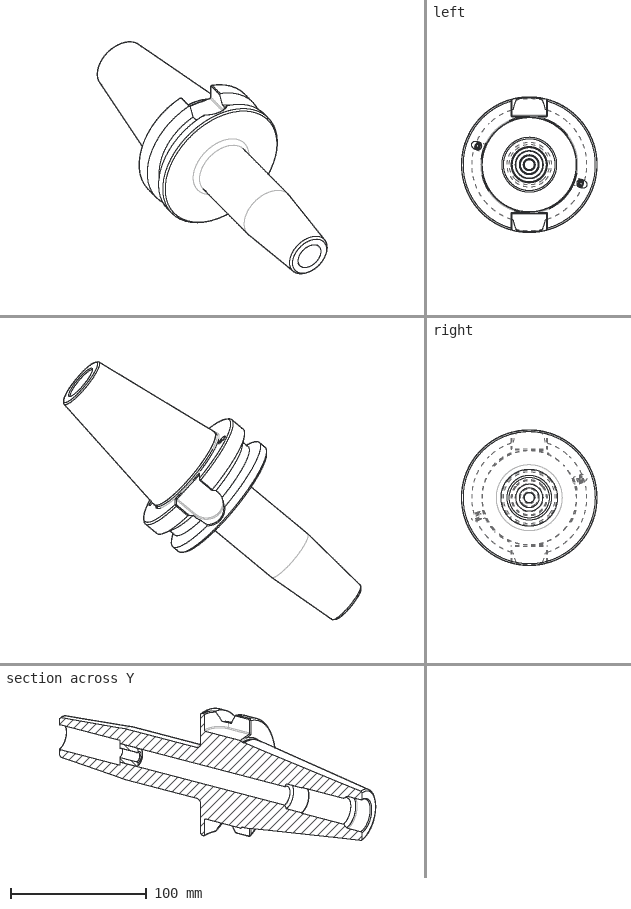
import cadquery as cq
import math

OVERALL_LENGTH = 261.8
TAPER_LENGTH = 101.8
TAPER_LARGE_DIAMETER = 70.0
TAPER_PER_LENGTH = 7 / 24
TAPER_END_CHAMFER = 1.0
NECK_DIAMETER = 69.5

FLANGE_START = 104.5
FLANGE_END = 139.8
FLANGE_DIAMETER = 100.0
FLANGE_CHAMFER = 1.3
NECK_FILLET = 1.0
GROOVE_CENTER = 125.0
GROOVE_FLOOR_WIDTH = 6.8
GROOVE_FLOOR_DIAMETER = 84.8
GROOVE_FLANK_ANGLE = 30.0

SHANK_DIAMETER = 42.0
SHANK_FILLET = 3.5
NOSE_START = 204.7
NOSE_ANGLE = 4.5
NOSE_CHAMFER = 1.5

SLOT_WIDTH = 25.7
SLOT_END = 136.1
SLOT_FLOOR_HEIGHT = 35.9
SLOT_FLOOR_FILLET = 0.8
SLOT_EDGE_CHAMFER = 0.8
RIM_MARGIN = 0.3

PILOT_DIAMETER = 25.7
PILOT_CHAMFER = 0.5
PILOT_CHAMFER_LENGTH = 1.0
PILOT_END = 12.3
PILOT_LEDGE_LENGTH = 1.0
PILOT_LEDGE_STEP = 0.3
PILOT_CONE_END = 16.2
THREAD_DIAMETER = 20.7
THREAD_END = 52.4
CHANNEL_DIAMETER = 20.0
CHANNEL_END = 65.5
CHANNEL_CONE_ANGLE = 30.0
STOP_BORE_DIAMETER = 14.7
TOOL_BORE_DIAMETER = 20.0
TOOL_BORE_DEPTH = 52.4

STOP_SCREW_LENGTH = 15.7
STOP_SCREW_HOLE_DIAMETER = 7.3
STOP_SCREW_HOLE_CHAMFER = 0.8
STOP_SCREW_RIM_CHAMFER = 0.8

PLUG_PITCH_RADIUS = 41.4
PLUG_POSITION_ANGLE = 20.0
PLUG_TILT = 37.0
PLUG_COUNT = 2
PLUG_DIAMETER = 6.0
PLUG_CHAMFER = 0.8
PLUG_LENGTH = 6.0
PLUG_SOCKET_FLATS = 3.0
PLUG_SOCKET_DEPTH = 3.0

flange_radius = FLANGE_DIAMETER / 2
groove_floor_radius = GROOVE_FLOOR_DIAMETER / 2
groove_flank_run = (flange_radius - groove_floor_radius) * math.tan(math.radians(GROOVE_FLANK_ANGLE))
groove_floor_start = GROOVE_CENTER - GROOVE_FLOOR_WIDTH / 2
groove_floor_end = GROOVE_CENTER + GROOVE_FLOOR_WIDTH / 2
groove_start = groove_floor_start - groove_flank_run
groove_end = groove_floor_end + groove_flank_run
shank_radius = SHANK_DIAMETER / 2
taper_small_radius = (TAPER_LARGE_DIAMETER - TAPER_LENGTH * TAPER_PER_LENGTH) / 2
nose_radius = shank_radius - (OVERALL_LENGTH - NOSE_START) * math.tan(math.radians(NOSE_ANGLE))
tool_bore_start = OVERALL_LENGTH - TOOL_BORE_DEPTH
stop_screw_start = tool_bore_start - STOP_SCREW_LENGTH
plug_face_radius = PLUG_DIAMETER / 2 - PLUG_CHAMFER
plug_face_depth = plug_face_radius * math.tan(math.radians(PLUG_TILT))


def revolve_about_x(profile):
    """Turn a closed outline of (x, radius) into a solid around the X axis."""
    return profile.close().revolve(360, (0, 0, 0), (1, 0, 0))


def holder_blank():
    """Taper, flange with V-groove, straight shank and slim nose as one turned shape."""
    shank_fillet_middle = SHANK_FILLET * (1 - math.sqrt(0.5))
    neck_radius = NECK_DIAMETER / 2
    neck_fillet_middle = NECK_FILLET * (1 - math.sqrt(0.5))
    return revolve_about_x(
        cq.Workplane("XY")
        .moveTo(0, 0)
        .lineTo(0, taper_small_radius - TAPER_END_CHAMFER)
        .lineTo(TAPER_END_CHAMFER, taper_small_radius + TAPER_END_CHAMFER * TAPER_PER_LENGTH / 2)
        .lineTo(TAPER_LENGTH, TAPER_LARGE_DIAMETER / 2)
        .lineTo(TAPER_LENGTH, neck_radius)
        .lineTo(FLANGE_START - NECK_FILLET, neck_radius)
        .threePointArc(
            (FLANGE_START - neck_fillet_middle, neck_radius + neck_fillet_middle),
            (FLANGE_START, neck_radius + NECK_FILLET),
        )
        .lineTo(FLANGE_START, flange_radius - FLANGE_CHAMFER)
        .lineTo(FLANGE_START + FLANGE_CHAMFER, flange_radius)
        .lineTo(groove_start, flange_radius)
        .lineTo(groove_floor_start, groove_floor_radius)
        .lineTo(groove_floor_end, groove_floor_radius)
        .lineTo(groove_end, flange_radius)
        .lineTo(FLANGE_END - FLANGE_CHAMFER, flange_radius)
        .lineTo(FLANGE_END, flange_radius - FLANGE_CHAMFER)
        .lineTo(FLANGE_END, shank_radius + SHANK_FILLET)
        .threePointArc(
            (FLANGE_END + shank_fillet_middle, shank_radius + shank_fillet_middle),
            (FLANGE_END + SHANK_FILLET, shank_radius),
        )
        .lineTo(NOSE_START, shank_radius)
        .lineTo(OVERALL_LENGTH - NOSE_CHAMFER, nose_radius)
        .lineTo(OVERALL_LENGTH, nose_radius - NOSE_CHAMFER)
        .lineTo(OVERALL_LENGTH, 0)
    )


def bore_cutter():
    """Stepped bore through the whole holder, from the pilot to the tool bore."""
    pilot_radius = PILOT_DIAMETER / 2
    thread_radius = THREAD_DIAMETER / 2
    stop_bore_radius = STOP_BORE_DIAMETER / 2
    tool_bore_radius = TOOL_BORE_DIAMETER / 2
    channel_radius = CHANNEL_DIAMETER / 2
    channel_cone_length = (channel_radius - stop_bore_radius) * math.tan(math.radians(CHANNEL_CONE_ANGLE))
    ledge_radius = pilot_radius - PILOT_LEDGE_STEP
    return revolve_about_x(
        cq.Workplane("XY")
        .moveTo(0, 0)
        .lineTo(0, pilot_radius + PILOT_CHAMFER)
        .lineTo(PILOT_CHAMFER_LENGTH, pilot_radius)
        .lineTo(PILOT_END, pilot_radius)
        .lineTo(PILOT_END + PILOT_LEDGE_LENGTH, ledge_radius)
        .lineTo(PILOT_CONE_END, thread_radius)
        .lineTo(THREAD_END, thread_radius)
        .lineTo(THREAD_END, channel_radius)
        .lineTo(CHANNEL_END, channel_radius)
        .lineTo(CHANNEL_END + channel_cone_length, stop_bore_radius)
        .lineTo(tool_bore_start, stop_bore_radius)
        .lineTo(tool_bore_start, tool_bore_radius)
        .lineTo(OVERALL_LENGTH, tool_bore_radius)
        .lineTo(OVERALL_LENGTH, 0)
    )


def drive_slot_cutter(side):
    """Round-ended slot on the +Z side (side = 1) or the -Z side (side = -1), open towards -X."""
    slot_radius = SLOT_WIDTH / 2
    arc_center = SLOT_END - slot_radius
    return (
        cq.Workplane("XY", origin=(0, 0, side * SLOT_FLOOR_HEIGHT))
        .moveTo(TAPER_LENGTH, -slot_radius)
        .lineTo(arc_center, -slot_radius)
        .threePointArc((SLOT_END, 0), (arc_center, slot_radius))
        .lineTo(TAPER_LENGTH, slot_radius)
        .close()
        .extrude(side * flange_radius)
        .faces("<Z" if side > 0 else ">Z")
        .edges("not <X")
        .fillet(SLOT_FLOOR_FILLET)
    )


def plug_plane(index, depth):
    """Workplane across a plug's slanted axis, at a depth along it from the flange face."""
    position = math.radians(PLUG_POSITION_ANGLE + index * 360 / PLUG_COUNT)
    tilt = math.radians(PLUG_TILT)
    outward = cq.Vector(0, math.cos(position), math.sin(position))
    axis = cq.Vector(math.cos(tilt), 0, 0) - outward * math.sin(tilt)
    across = cq.Vector(0, -math.sin(position), math.cos(position))
    opening = cq.Vector(FLANGE_START, 0, 0) + outward * PLUG_PITCH_RADIUS
    return cq.Workplane(cq.Plane(origin=opening + axis * depth, xDir=across, normal=axis))


def plug_hole_cutter(index):
    """Slanted blind hole that starts outside the flange and ends at the plug's inner face."""
    outside_depth = -2 * plug_face_depth
    hole_length = plug_face_depth + PLUG_LENGTH - outside_depth
    return plug_plane(index, outside_depth).circle(PLUG_DIAMETER / 2).extrude(hole_length)


def coolant_plug(index):
    """Headless plug with a chamfered rim and a hexagon socket in its outer face."""
    socket_corners = PLUG_SOCKET_FLATS / math.cos(math.radians(30))
    plane = plug_plane(index, plug_face_depth)
    body = plane.circle(PLUG_DIAMETER / 2).extrude(PLUG_LENGTH)
    body = body.faces(cq.selectors.DirectionMinMaxSelector(plane.plane.zDir, False)).chamfer(PLUG_CHAMFER)
    socket = plug_plane(index, plug_face_depth).polygon(6, socket_corners).extrude(PLUG_SOCKET_DEPTH)
    return body.cut(socket)


def stop_screw():
    """Hollow screw that ends at the bottom of the tool bore."""
    screw = (
        cq.Workplane("YZ", origin=(stop_screw_start, 0, 0))
        .circle(STOP_BORE_DIAMETER / 2)
        .circle(STOP_SCREW_HOLE_DIAMETER / 2)
        .extrude(STOP_SCREW_LENGTH)
    )
    rim, hole_edge = (cq.selectors.RadiusNthSelector(n) for n in (-1, 0))
    screw = screw.faces("<X").edges(rim).chamfer(STOP_SCREW_RIM_CHAMFER)
    return screw.faces("<X").edges(hole_edge).chamfer(STOP_SCREW_HOLE_CHAMFER)


def slot_rim_edges(body, side):
    """Edges where a drive slot's walls meet the flange outside the V-groove."""
    half_width = SLOT_WIDTH / 2 + RIM_MARGIN
    bottom = side * (SLOT_FLOOR_HEIGHT + SLOT_FLOOR_FILLET + RIM_MARGIN)
    top = side * flange_radius
    front_land = cq.selectors.BoxSelector(
        (FLANGE_START - RIM_MARGIN, -half_width, bottom),
        (groove_start, half_width, top),
    )
    rear_land = cq.selectors.BoxSelector(
        (groove_end, -half_width, bottom),
        (SLOT_END + RIM_MARGIN, half_width, top),
    )
    return body.edges(front_land + rear_land)


def holder():
    """Holder body with its bore, drive slots and slanted plug holes."""
    body = holder_blank().cut(bore_cutter())
    for side in (1, -1):
        body = body.cut(drive_slot_cutter(side))
    for side in (1, -1):
        body = slot_rim_edges(body, side).chamfer(SLOT_EDGE_CHAMFER)
    for index in range(PLUG_COUNT):
        body = body.cut(plug_hole_cutter(index))
    return body


plugs = [coolant_plug(index) for index in range(PLUG_COUNT)]
result = cq.Compound.makeCompound(
    [holder().val(), stop_screw().val(), *[plug.val() for plug in plugs]]
)